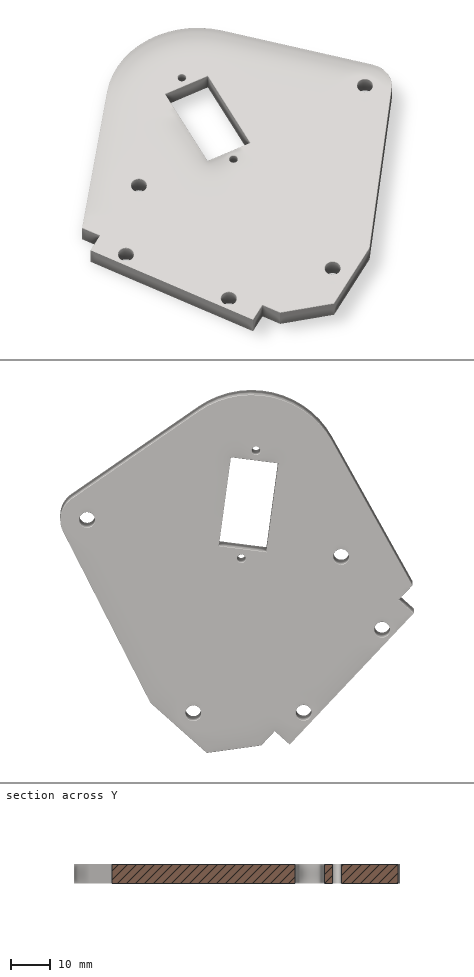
import cadquery as cq
import math

total_depth = 83.3
thickness = 5.0

edge_bevel = 0.1

tab_width = 46.0
tab_height = 5.1
shoulder_width = 5.0

right_edge_x = 61.6
right_edge_bottom = 13.8
right_edge_top = 33.0

mount_diameter = 3.9
tab_hole_y = 3.0
tab_hole_left_x = 8.5
tab_hole_right_x = 37.6
middle_hole_y = 23.2
middle_hole_left_x = 1.6
middle_hole_right_x = 56.3

top_radius = 6.75
top_center = (tab_hole_right_x, total_depth - top_radius)
left_radius = 22.9
left_center = (2.8, 52.55)

window_center = (7.3, 49.4)
window_length = 23.0
window_width = 12.0
window_tilt = -35.0
screw_spacing = 28.1
screw_diameter = 2.1


def point_on_circle(center, radius, angle):
    return (center[0] + radius * math.cos(angle), center[1] + radius * math.sin(angle))


def tangent_angle(start, start_radius, end, end_radius):
    """Angle of the outward normal of the line touching two circles, with both circles on its right.

    A radius of zero makes that end of the line a plain point.
    """
    dx = end[0] - start[0]
    dy = end[1] - start[1]
    return math.atan2(dy, dx) + math.acos((start_radius - end_radius) / math.hypot(dx, dy))


def make_plate():
    left_shoulder = (-shoulder_width, tab_height)
    right_shoulder = (tab_width + shoulder_width, tab_height)
    right_corner = (right_edge_x, right_edge_top)

    left_normal = tangent_angle(left_shoulder, 0, left_center, left_radius)
    top_normal = tangent_angle(left_center, left_radius, top_center, top_radius)
    right_normal = tangent_angle(top_center, top_radius, right_corner, 0)

    left_mid_angle = (left_normal + top_normal) / 2
    top_mid_angle = (top_normal + right_normal) / 2

    return (
        cq.Workplane("XY")
        .moveTo(0, 0)
        .lineTo(0, tab_height)
        .lineTo(*left_shoulder)
        .lineTo(*point_on_circle(left_center, left_radius, left_normal))
        .threePointArc(
            point_on_circle(left_center, left_radius, left_mid_angle),
            point_on_circle(left_center, left_radius, top_normal),
        )
        .lineTo(*point_on_circle(top_center, top_radius, top_normal))
        .threePointArc(
            point_on_circle(top_center, top_radius, top_mid_angle),
            point_on_circle(top_center, top_radius, right_normal),
        )
        .lineTo(*right_corner)
        .lineTo(right_edge_x, right_edge_bottom)
        .lineTo(*right_shoulder)
        .lineTo(tab_width, tab_height)
        .lineTo(tab_width, 0)
        .close()
        .extrude(thickness)
    )


def make_mounting_holes():
    centers = [
        (tab_hole_left_x, tab_hole_y),
        (tab_hole_right_x, tab_hole_y),
        (middle_hole_left_x, middle_hole_y),
        (middle_hole_right_x, middle_hole_y),
        top_center,
    ]
    return cq.Workplane("XY").pushPoints(centers).circle(mount_diameter / 2).extrude(thickness)


def make_window():
    opening = cq.Workplane("XY").rect(window_length, window_width).extrude(thickness)
    screws = (
        cq.Workplane("XY")
        .pushPoints([(-screw_spacing / 2, 0), (screw_spacing / 2, 0)])
        .circle(screw_diameter / 2)
        .extrude(thickness)
    )
    cutter = opening.union(screws)
    return cutter.rotate((0, 0, 0), (0, 0, 1), window_tilt).translate((*window_center, 0))


plate = make_plate().cut(make_mounting_holes()).cut(make_window())

result = plate.faces("<Z or >Z").edges("not <Y").chamfer(edge_bevel)